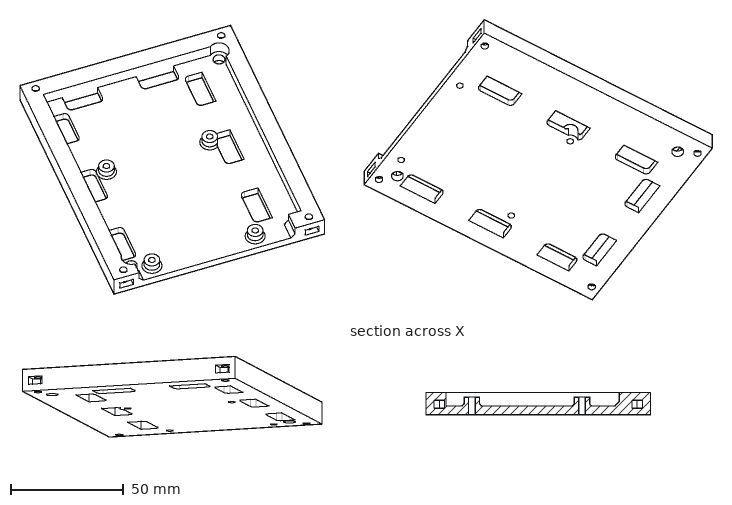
import cadquery as cq
import math

length = 120.0
width = 100.0
height = 10.0
floor_thickness = 4.0
side_wall = 8.0
end_wall = 8.5

right = length / 2
back = width / 2
pocket_left = -right + end_wall
pocket_front = -back + side_wall
pocket_back = back - side_wall

back_block_width = 14.0
front_block_width = 12.0
foot_chamfer = 2.0

screw_diameter = 3.2
screw_end_offset = 4.1
screw_side_offset = 6.0
screw_x = right - screw_end_offset
screw_y = back - screw_side_offset
nut_flats = 6.4
slot_thickness = 3.5
slot_bottom = 3.0

mount_diameter = 5.2
relief_diameter = 9.0
mount_near_offset = 10.0
mount_far_offset = 12.0
mount_points = [
    (-right + mount_far_offset, back - mount_near_offset),
    (right - mount_near_offset, -back + mount_far_offset),
]

standoff_diameter = 7.0
standoff_hole = 2.9
standoff_height = 4.0
standoff_chamfer = 1.0
standoff_spacing_x = 58.0
standoff_spacing_y = 49.0
standoff_centre_x = 24.5
standoff_centre_y = -5.0
standoff_points = [
    (standoff_centre_x + x_side * standoff_spacing_x / 2, standoff_centre_y + y_side * standoff_spacing_y / 2)
    for x_side in (-1, 1)
    for y_side in (-1, 1)
]

window_radius = 2.0
window_depth = 8.0
back_window_depth = 8.5
back_window_edge = 30.4
middle_window = (-8.2, 10.1)
right_window = (27.7, 46.1)
back_windows = [(-43.7, -25.8), middle_window, right_window]
front_windows = [(-42.6, -25.8), middle_window, right_window]
left_windows = [(-33.0, -16.2), (2.0, 19.8)]


def box(x_range, y_range, z_range):
    """Box filling the given ranges."""
    sizes = [high - low for low, high in (x_range, y_range, z_range)]
    corner = (x_range[0], y_range[0], z_range[0])
    return cq.Workplane("XY").box(*sizes, centered=False).translate(corner)


def cylinders(points, diameter, z_bottom, z_top):
    """Upright cylinders at the given points."""
    plane = cq.Workplane("XY", origin=(0, 0, z_bottom))
    return plane.pushPoints(points).circle(diameter / 2).extrude(z_top - z_bottom)


def corner_block(side, block_width):
    """Block at the +X end on the back (side = 1) or front (side = -1) wall."""
    wall_y = side * back
    face_y = wall_y - side * block_width
    foot_y = face_y - side * foot_chamfer
    return (
        cq.Workplane("YZ", origin=(right - end_wall, 0, 0))
        .moveTo(wall_y, 0)
        .lineTo(wall_y, height)
        .lineTo(face_y, height)
        .lineTo(face_y, floor_thickness + foot_chamfer)
        .lineTo(foot_y, floor_thickness)
        .lineTo(foot_y, 0)
        .close()
        .extrude(end_wall)
    )


def standoff_foot(x, y):
    """Disc with a sloping rim that blends a standoff into the floor."""
    radius = standoff_diameter / 2
    return (
        cq.Workplane("XZ")
        .lineTo(radius + standoff_chamfer, 0)
        .lineTo(radius, standoff_chamfer)
        .lineTo(0, standoff_chamfer)
        .close()
        .revolve(360, (0, 0, 0), (0, 1, 0))
        .translate((x, y, floor_thickness))
    )


def window(x_range, y_range, rounded_side):
    """Cutter for a floor window, rounded at the two corners on one side."""
    cutter = box(x_range, y_range, (0, floor_thickness + standoff_chamfer))
    return cutter.faces(rounded_side).edges("|Z").fillet(window_radius)


def nut_slot(side, y):
    """Slot from the end face on one side (1 or -1), ending in the point of a nut."""
    half_width = nut_flats / 2
    nut_radius = nut_flats / math.sqrt(3)
    face_x = side * right
    shoulder_x = side * (screw_x - nut_radius / 2)
    tip_x = side * (screw_x - nut_radius)
    return (
        cq.Workplane("XY", origin=(0, 0, slot_bottom))
        .moveTo(face_x, y - half_width)
        .lineTo(shoulder_x, y - half_width)
        .lineTo(tip_x, y)
        .lineTo(shoulder_x, y + half_width)
        .lineTo(face_x, y + half_width)
        .close()
        .extrude(slot_thickness)
    )


body = box((-right, right), (-back, back), (0, height))
body = body.cut(box((pocket_left, right), (pocket_front, pocket_back), (floor_thickness, height)))
body = body.union(corner_block(1, back_block_width))
body = body.union(corner_block(-1, front_block_width))

body = body.cut(cylinders(mount_points, relief_diameter, floor_thickness, height))
body = body.cut(cylinders(mount_points, mount_diameter, 0, height))

for x, y in standoff_points:
    body = body.union(standoff_foot(x, y))

for x_range in back_windows:
    body = body.cut(window(x_range, (back_window_edge - back_window_depth, back_window_edge), "<Y"))
for x_range in front_windows:
    body = body.cut(window(x_range, (pocket_front, pocket_front + window_depth), ">Y"))
for y_range in left_windows:
    body = body.cut(window((pocket_left, pocket_left + window_depth), y_range, ">X"))

standoff_top = floor_thickness + standoff_height
body = body.union(cylinders(standoff_points, standoff_diameter, 0, standoff_top))
body = body.cut(cylinders(standoff_points, standoff_hole, 0, standoff_top))

screw_points = [(x, y) for x in (-screw_x, screw_x) for y in (-screw_y, screw_y)]
body = body.cut(cylinders(screw_points, screw_diameter, 0, height))
for side in (-1, 1):
    for y in (-screw_y, screw_y):
        body = body.cut(nut_slot(side, y))

result = body